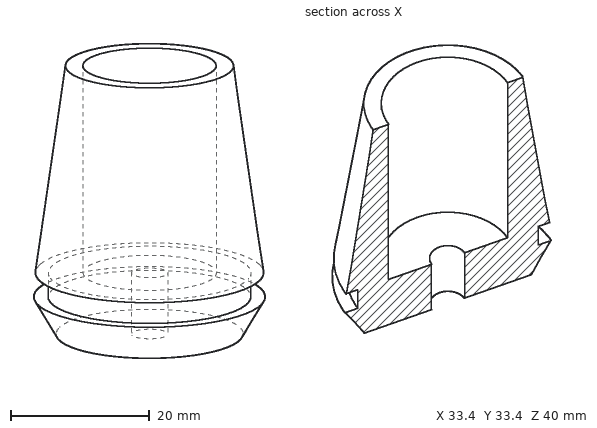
import cadquery as cq
import math

height = 40.0
flange_height = 5.5
groove_top = 9.1

flange_diameter = 33.35
groove_diameter = 29.2
top_diameter = 24.25

body_taper = 8.0
flange_taper = 30.0

bore_diameter = 19.2
through_hole_diameter = 5.3
bore_floor = groove_top

flange_radius = flange_diameter / 2
groove_radius = groove_diameter / 2
top_radius = top_diameter / 2
base_radius = flange_radius - flange_height * math.tan(math.radians(flange_taper))
body_radius = top_radius + (height - groove_top) * math.tan(math.radians(body_taper))


def collet_body():
    """Solid of revolution: flared flange, groove and tapered body."""
    return (
        cq.Workplane("XZ")
        .moveTo(0, 0)
        .lineTo(base_radius, 0)
        .lineTo(flange_radius, flange_height)
        .lineTo(groove_radius, flange_height)
        .lineTo(groove_radius, groove_top)
        .lineTo(body_radius, groove_top)
        .lineTo(top_radius, height)
        .lineTo(0, height)
        .close()
        .revolve(360, (0, 0, 0), (0, 1, 0))
    )


def cut_stepped_bore(body):
    """Wide bore from the top, with a smaller hole through its floor."""
    return body.faces(">Z").workplane().cboreHole(
        through_hole_diameter, bore_diameter, height - bore_floor
    )


result = cut_stepped_bore(collet_body())